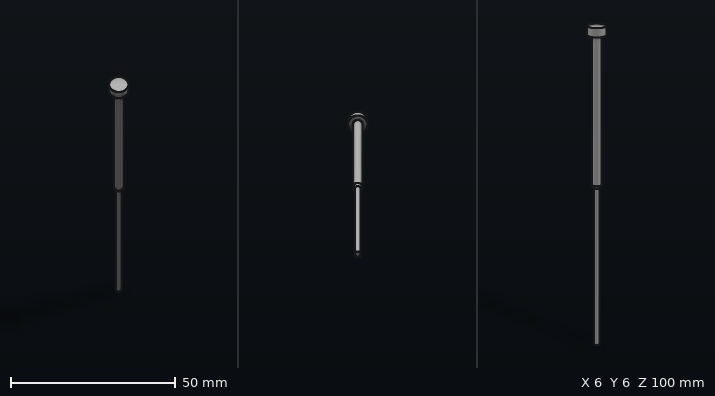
import cadquery as cq
import math

total_length = 100.0
head_diameter = 6.0
head_height = 3.0

shank_diameter = 3.0
tip_diameter = 1.8
shoulder_height = 50.0
taper_half_angle = 30.0

head_radius = head_diameter / 2
shank_radius = shank_diameter / 2
tip_radius = tip_diameter / 2
taper_height = (shank_radius - tip_radius) / math.tan(math.radians(taper_half_angle))
taper_bottom = shoulder_height - taper_height
head_bottom = total_length - head_height


def make_pin():
    """Revolve the half profile of the stepped pin about the Z axis."""
    half_profile = (
        cq.Workplane("XZ")
        .lineTo(tip_radius, 0)
        .lineTo(tip_radius, taper_bottom)
        .lineTo(shank_radius, shoulder_height)
        .lineTo(shank_radius, head_bottom)
        .lineTo(head_radius, head_bottom)
        .lineTo(head_radius, total_length)
        .lineTo(0, total_length)
        .close()
    )
    return half_profile.revolve(360, (0, 0, 0), (0, 1, 0))


result = make_pin()